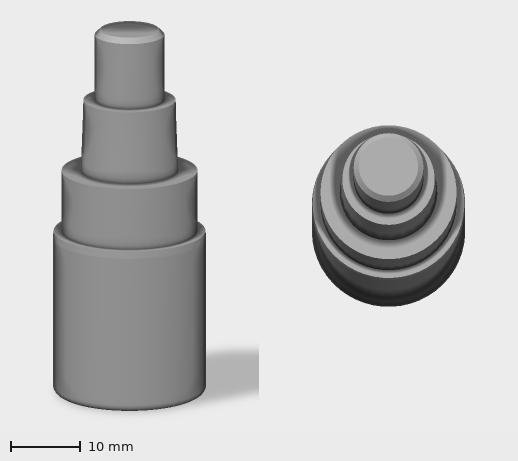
import cadquery as cq

total_height = 54.0

base_diameter = 22.0
base_height = 24.0
base_edge_radius = 1.0
rim_height = 1.0
rim_inset = 0.1

shoulder_diameter = 19.5
shoulder_height = 9.0
taper_bottom_diameter = 14.0
taper_top_diameter = 13.25
taper_height = 10.55
pin_diameter = 10.0
pin_chamfer = 0.75

shoulder_top = base_height + shoulder_height
taper_top = shoulder_top + taper_height


def revolve_about_z(profile):
    """Revolve a closed (radius, height) half profile about the Z axis."""
    return cq.Workplane("XZ").polyline(profile).close().revolve(360, (0, 0), (0, 1))


def make_base():
    """Cylinder with a slightly tapered top rim and a rounded bottom edge."""
    base_radius = base_diameter / 2
    profile = [
        (0, 0),
        (base_radius, 0),
        (base_radius, base_height - rim_height),
        (base_radius - rim_inset, base_height),
        (0, base_height),
    ]
    return revolve_about_z(profile).faces("<Z").edges().fillet(base_edge_radius)


def make_spindle():
    """Shoulder, slight taper and chamfered pin, standing on top of the base."""
    shoulder_radius = shoulder_diameter / 2
    pin_radius = pin_diameter / 2
    profile = [
        (0, base_height),
        (shoulder_radius, base_height),
        (shoulder_radius, shoulder_top),
        (taper_bottom_diameter / 2, shoulder_top),
        (taper_top_diameter / 2, taper_top),
        (pin_radius, taper_top),
        (pin_radius, total_height - pin_chamfer),
        (pin_radius - pin_chamfer, total_height),
        (0, total_height),
    ]
    return revolve_about_z(profile)


base = make_base()
spindle = make_spindle()

result = cq.Compound.makeCompound([base.val(), spindle.val()])